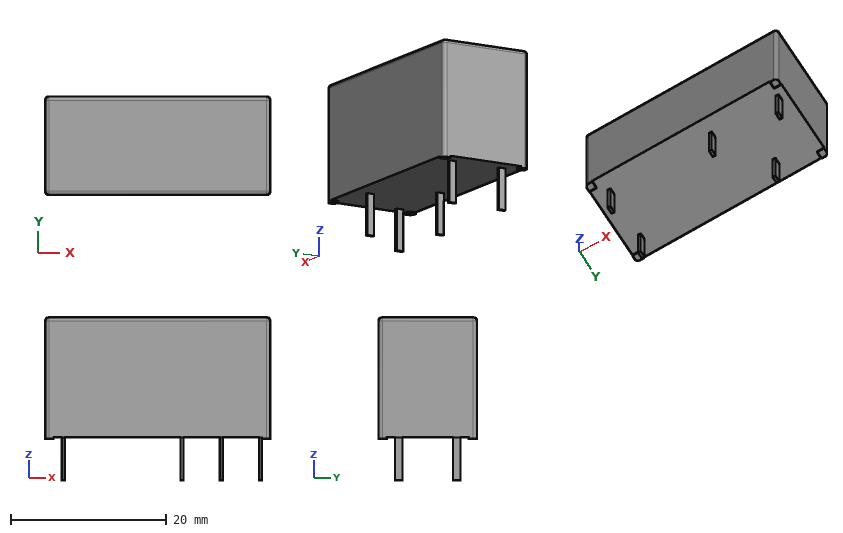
import cadquery as cq

case_length = 29.0
case_width = 12.7
total_height = 21.0
case_height = 15.65
edge_radius = 0.5

foot_size = 1.07
foot_height = 0.2

pin_thickness = 0.4
pin_width = 1.0
row_spacing = 7.45
contact_pitch = 5.05
coil_to_contact = 15.3
coil_pin_inset = 2.32
pin_embed = 0.3

pin_bottom = case_height - total_height
coil_x = -case_length / 2 + coil_pin_inset
first_contact_x = coil_x + coil_to_contact
front_row_y = -row_spacing / 2
back_row_y = row_spacing / 2

pin_positions = [
    (coil_x, front_row_y),
    (coil_x, back_row_y),
    (first_contact_x, front_row_y),
    (first_contact_x + contact_pitch, back_row_y),
    (first_contact_x + 2 * contact_pitch, front_row_y),
]


def make_case():
    """Block with rounded upright and top edges, standing on corner feet."""
    block = cq.Workplane("XY").box(
        case_length, case_width, case_height, centered=(True, True, False)
    )
    block = block.edges("|Z or >Z").fillet(edge_radius)
    channel_along_x = cq.Workplane("XY").box(
        case_length, case_width - 2 * foot_size, foot_height, centered=(True, True, False)
    )
    channel_along_y = cq.Workplane("XY").box(
        case_length - 2 * foot_size, case_width, foot_height, centered=(True, True, False)
    )
    return block.cut(channel_along_x).cut(channel_along_y)


def make_pins():
    """Flat pins reaching from inside the case down to their common tip level."""
    pin_length = foot_height + pin_embed - pin_bottom
    return (
        cq.Workplane("XY", origin=(0, 0, pin_bottom))
        .pushPoints(pin_positions)
        .rect(pin_thickness, pin_width)
        .extrude(pin_length)
    )


result = make_case().union(make_pins())